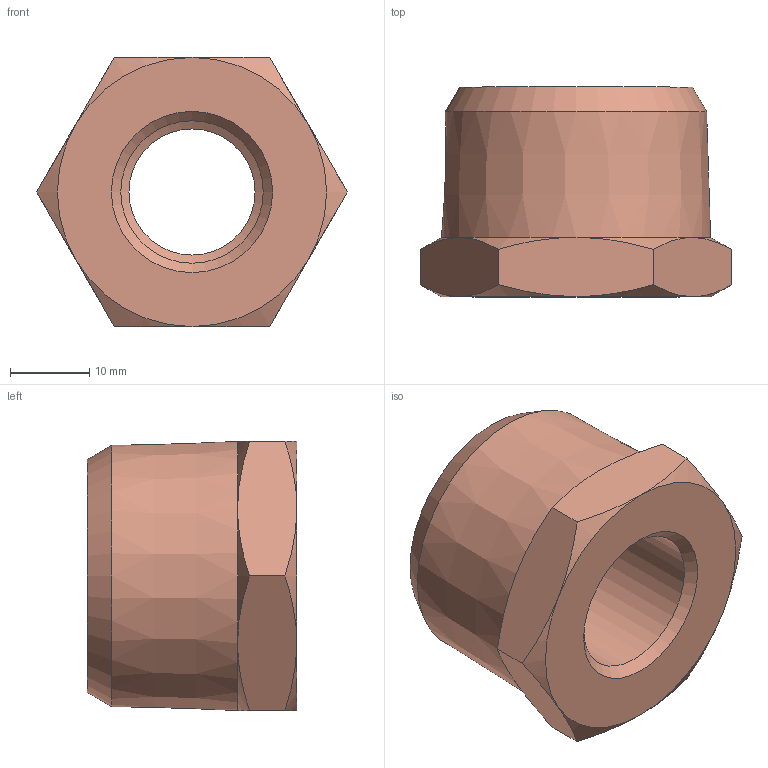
import cadquery as cq
import math

across_flats = 34.0
head_length = 7.5
head_chamfer_angle = 30.0

total_length = 26.5
shank_base_diameter = 34.0
shank_taper = 1 / 16
tip_chamfer_length = 3.1
tip_chamfer_angle = 30.0

mouth_diameter = 20.36
mouth_chamfer_angle = 45.0
front_bore_diameter = 18.0
front_bore_depth = 16.0
step_angle = 60.0
back_bore_diameter = 15.94


def revolve_about_y(outline):
    """Turn a closed (radius, y) outline about the Y axis."""
    profile = cq.Workplane("XY").polyline(outline).close()
    return profile.revolve(360, (0, 0, 0), (0, 1, 0))


def hexagon_head():
    """Hexagon with corners on the X axis, chamfered at both ends."""
    across_corners = across_flats / math.cos(math.radians(30))
    prism = (
        cq.Workplane("XZ")
        .polygon(6, across_corners)
        .extrude(-head_length)
    )
    face_radius = across_flats / 2
    corner_radius = across_corners / 2
    chamfer_depth = (corner_radius - face_radius) * math.tan(math.radians(head_chamfer_angle))
    corner_limits = revolve_about_y([
        (0, 0),
        (face_radius, 0),
        (corner_radius, chamfer_depth),
        (corner_radius, head_length - chamfer_depth),
        (face_radius, head_length),
        (0, head_length),
    ])
    return prism.intersect(corner_limits)


def tapered_shank():
    """Conical shank that narrows towards a chamfered tip."""
    base_radius = shank_base_diameter / 2
    chamfer_start = total_length - tip_chamfer_length
    shoulder_radius = base_radius - (chamfer_start - head_length) * shank_taper / 2
    tip_radius = shoulder_radius - tip_chamfer_length * math.tan(math.radians(tip_chamfer_angle))
    return revolve_about_y([
        (0, head_length),
        (base_radius, head_length),
        (shoulder_radius, chamfer_start),
        (tip_radius, total_length),
        (0, total_length),
    ])


def stepped_bore():
    """Through bore with a chamfered mouth and a conical step between two diameters."""
    mouth_radius = mouth_diameter / 2
    front_radius = front_bore_diameter / 2
    back_radius = back_bore_diameter / 2
    mouth_depth = (mouth_radius - front_radius) / math.tan(math.radians(mouth_chamfer_angle))
    step_length = (front_radius - back_radius) / math.tan(math.radians(step_angle))
    return revolve_about_y([
        (0, 0),
        (mouth_radius, 0),
        (front_radius, mouth_depth),
        (front_radius, front_bore_depth),
        (back_radius, front_bore_depth + step_length),
        (back_radius, total_length),
        (0, total_length),
    ])


result = hexagon_head().union(tapered_shank()).cut(stepped_bore())